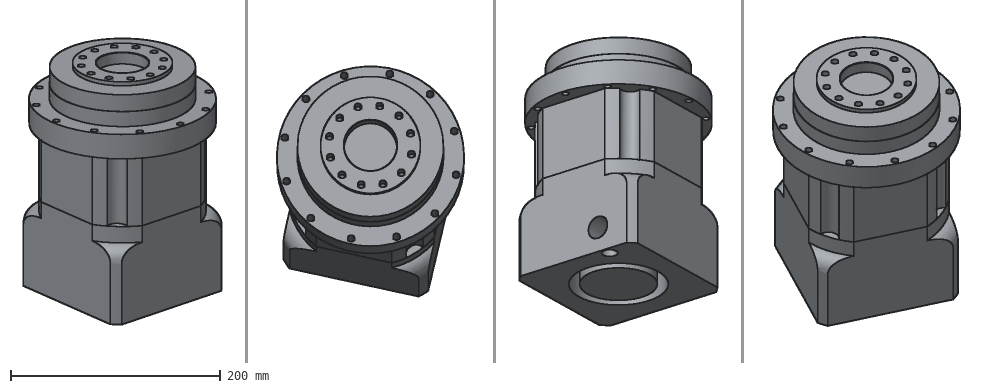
import cadquery as cq
import math

body_width = 142.0
corner_radius = 80.0

shoulder_z = 78.5
joint_z = 95.4
flange_bottom_z = 169.5
flange_top_z = 194.9
pilot_top_z = 210.5
cover_top_z = 227.8
overall_height = 232.0

adapter_corner_radius = 95.1
shoulder_round = adapter_corner_radius - corner_radius
bore_diameter = 95.1
access_hole_diameter = 22.7
access_hole_y = -29.0
access_hole_z = 25.5
cross_hole_diameter = 15.3
cross_hole_x = -61.5
cross_hole_y = -36.0

hub_diameter = 74.2

flange_diameter = 179.0
pilot_diameter = 140.1
cover_diameter = 139.7
corner_groove_radius = 10.0
corner_groove_offset = 58.0
bolts_per_circle = 12
flange_bolt_circle_radius = 84.0
flange_hole_diameter = 6.7

output_diameter = 95.5
output_bolt_circle_radius = 40.1
output_hole_diameter = 7.0
output_hole_depth = 11.5
drill_point_angle = 118.0
recess_diameter = 50.5
recess_depth = 12.0
recess_chamfer = 0.5


def disc(diameter, bottom_z, top_z):
    """Upright cylinder on the part axis."""
    return cq.Workplane("XY").workplane(offset=bottom_z).circle(diameter / 2).extrude(top_z - bottom_z)


def square_block(bottom_z, top_z):
    """Square prism on the part axis."""
    return (
        cq.Workplane("XY")
        .workplane(offset=bottom_z)
        .rect(body_width, body_width)
        .extrude(top_z - bottom_z)
    )


def make_adapter():
    shoulder_start_z = shoulder_z - shoulder_round
    arc_reach = shoulder_round * math.sqrt(0.5)
    arc_middle = (corner_radius + arc_reach, shoulder_start_z + arc_reach)
    envelope = (
        cq.Workplane("XZ")
        .lineTo(adapter_corner_radius, 0)
        .lineTo(adapter_corner_radius, shoulder_start_z)
        .threePointArc(arc_middle, (corner_radius, shoulder_z))
        .lineTo(corner_radius, joint_z)
        .lineTo(0, joint_z)
        .close()
        .revolve(360, (0, 0, 0), (0, 1, 0))
    )
    access_hole = (
        cq.Workplane("YZ")
        .workplane(offset=-body_width / 2)
        .center(access_hole_y, access_hole_z)
        .circle(access_hole_diameter / 2)
        .extrude(body_width / 2)
    )
    cross_hole = (
        cq.Workplane("XY")
        .center(cross_hole_x, cross_hole_y)
        .circle(cross_hole_diameter / 2)
        .extrude(access_hole_z)
    )
    bore = disc(bore_diameter, 0, joint_z)
    block = square_block(0, joint_z).intersect(envelope)
    return block.cut(bore).cut(access_hole).cut(cross_hole)


def make_hub():
    return disc(hub_diameter, 0, joint_z)


def make_corner_grooves():
    groove_spacing = 2 * corner_groove_offset
    return (
        cq.Workplane("XY")
        .workplane(offset=joint_z)
        .rect(groove_spacing, groove_spacing, forConstruction=True)
        .vertices()
        .circle(corner_groove_radius)
        .extrude(flange_bottom_z - joint_z)
    )


def make_flange_holes():
    return (
        cq.Workplane("XY")
        .workplane(offset=flange_bottom_z)
        .polarArray(flange_bolt_circle_radius, 0, 360, bolts_per_circle)
        .circle(flange_hole_diameter / 2)
        .extrude(flange_top_z - flange_bottom_z)
    )


def make_output_holes():
    """Blind holes in the output face, each ending in a drill point."""
    hole_radius = output_hole_diameter / 2
    point_length = hole_radius / math.tan(math.radians(drill_point_angle / 2))
    drill = (
        cq.Workplane("XZ")
        .lineTo(hole_radius, 0)
        .lineTo(hole_radius, -output_hole_depth)
        .lineTo(0, -output_hole_depth - point_length)
        .close()
        .revolve(360, (0, 0, 0), (0, 1, 0))
        .val()
    )
    return (
        cq.Workplane("XY")
        .workplane(offset=overall_height)
        .polarArray(output_bolt_circle_radius, 0, 360, bolts_per_circle)
        .eachpoint(lambda place: drill.moved(place))
    )


def make_output_recess():
    """Central recess of the output face, widened by a small chamfer at its mouth."""
    recess_radius = recess_diameter / 2
    return (
        cq.Workplane("XZ", origin=(0, 0, overall_height))
        .lineTo(recess_radius + recess_chamfer, 0)
        .lineTo(recess_radius, -recess_chamfer)
        .lineTo(recess_radius, -recess_depth)
        .lineTo(0, -recess_depth)
        .close()
        .revolve(360, (0, 0, 0), (0, 1, 0))
    )


def make_housing():
    column = square_block(joint_z, flange_bottom_z).intersect(
        disc(2 * corner_radius, joint_z, flange_bottom_z)
    )
    return (
        column.cut(make_corner_grooves())
        .union(disc(flange_diameter, flange_bottom_z, flange_top_z))
        .union(disc(pilot_diameter, flange_top_z, pilot_top_z))
        .union(disc(cover_diameter, pilot_top_z, cover_top_z))
        .union(disc(output_diameter, cover_top_z, overall_height))
        .cut(make_flange_holes())
        .cut(make_output_holes())
        .cut(make_output_recess())
    )


adapter = make_adapter()
hub = make_hub()
housing = make_housing()

result = cq.Compound.makeCompound([adapter.val(), hub.val(), housing.val()])